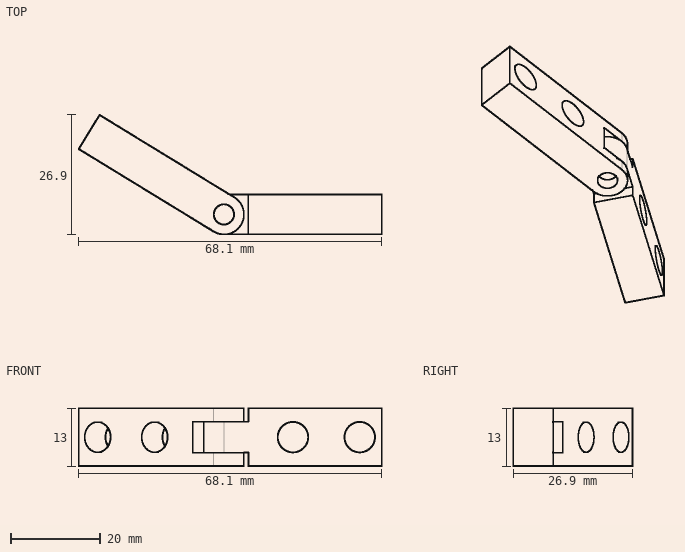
import cadquery as cq

ARM_LENGTH = 35.5
ARM_WIDTH = 9.0
ARM_HEIGHT = 13.0
FOLD_ANGLE = 31.45

TONGUE_HEIGHT = 7.0
KNUCKLE_RADIUS = ARM_WIDTH / 2
KNUCKLE_CLEARANCE = 1.0
SHOULDER = KNUCKLE_RADIUS + KNUCKLE_CLEARANCE

PIVOT_HOLE_DIAMETER = 4.5
MOUNT_HOLE_DIAMETER = 6.8
MOUNT_HOLE_COUNT = 2
MOUNT_HOLE_SPACING = 15.0
END_TO_MOUNT_HOLE = 5.0
MOUNT_HOLE_POSITIONS = [
    ARM_LENGTH - END_TO_MOUNT_HOLE - index * MOUNT_HOLE_SPACING
    for index in range(MOUNT_HOLE_COUNT)
]


def arm_blank():
    """Bar along +X with a round knuckle about the pivot and all its holes."""
    blank = (
        cq.Workplane("XY", origin=(0, 0, -ARM_HEIGHT / 2))
        .moveTo(ARM_LENGTH, -KNUCKLE_RADIUS)
        .lineTo(ARM_LENGTH, KNUCKLE_RADIUS)
        .lineTo(0, KNUCKLE_RADIUS)
        .threePointArc((-KNUCKLE_RADIUS, 0), (0, -KNUCKLE_RADIUS))
        .close()
        .extrude(ARM_HEIGHT)
    )
    pivot_hole = (
        cq.Workplane("XY", origin=(0, 0, -ARM_HEIGHT / 2))
        .circle(PIVOT_HOLE_DIAMETER / 2)
        .extrude(ARM_HEIGHT)
    )
    mount_holes = (
        cq.Workplane("XZ", origin=(0, ARM_WIDTH / 2, 0))
        .pushPoints([(x, 0) for x in MOUNT_HOLE_POSITIONS])
        .circle(MOUNT_HOLE_DIAMETER / 2)
        .extrude(ARM_WIDTH)
    )
    return blank.cut(pivot_hole).cut(mount_holes)


def knuckle_zone(height):
    """Box centred on the pivot that reaches from the knuckle tip to the shoulder."""
    return cq.Workplane("XY").box(2 * SHOULDER, ARM_WIDTH, height)


def make_tongue_arm():
    """Arm along +X, thinned at the pivot to a central tongue."""
    relief = knuckle_zone(ARM_HEIGHT).cut(knuckle_zone(TONGUE_HEIGHT))
    return arm_blank().cut(relief).solids()


def make_fork_arm():
    """Arm slotted at the pivot to take the tongue, then swung about the pivot."""
    fork = arm_blank().cut(knuckle_zone(TONGUE_HEIGHT))
    return fork.rotate((0, 0, 0), (0, 0, 1), 180 - FOLD_ANGLE).solids()


tongue_arm = make_tongue_arm()
fork_arm = make_fork_arm()

result = cq.Compound.makeCompound([tongue_arm.val(), fork_arm.val()])